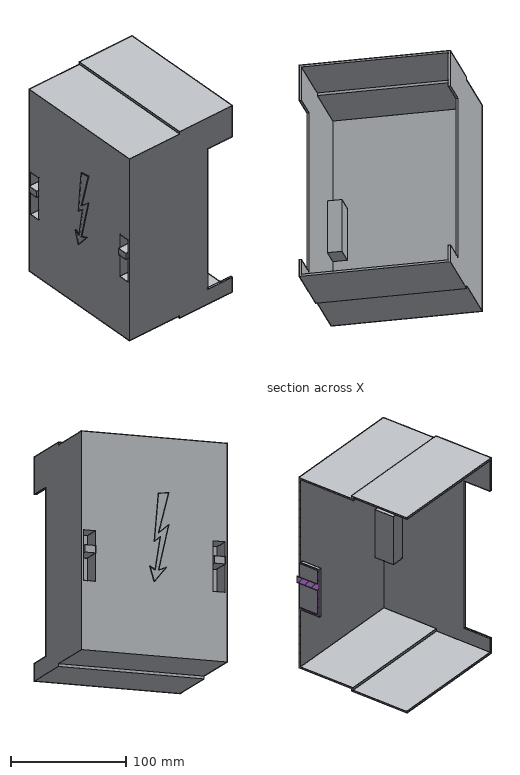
import cadquery as cq

width = 135.0
height = 200.0
body_depth = 117.0
wall = 2.0

rear_depth = 60.0
step_height = 2.5
step_y = body_depth - rear_depth

recess_depth = 28.0
recess_bottom = 16.0
recess_top = 166.5

slot_width = 11.0
latch_offset = width / 2 - wall - slot_width / 2
slot_height = 45.0
slot_bottom = 64.5
pocket_depth = 20.0
tongue_width = 10.0
tongue_height = 6.6
tongue_bottom = 89.2
tongue_projection = 2.0

arrow_thickness = 1.0
arrow_points = [
    (3.5, 147.5),
    (13.1, 148.9),
    (3.7, 112.3),
    (13.1, 120.3),
    (3.7, 79.1),
    (10.9, 82.1),
    (-0.3, 68.5),
    (-4.5, 82.1),
    (0.5, 79.1),
    (5.3, 109.0),
    (-0.3, 104.4),
]


def block(x_center, x_size, y_start, y_end, z_start, z_size):
    """Box centred on x_center, between two Y planes and standing on z_start."""
    return (
        cq.Workplane("XY", origin=(x_center, y_start, z_start))
        .box(x_size, y_end - y_start, z_size, centered=(True, False, False))
    )


def stepped_block(inset, y_front):
    """Two-section body reduced by inset at the sides, top and bottom."""
    front_bottom = step_height + inset
    front = block(0, width - 2 * inset, y_front, body_depth, front_bottom, height - 2 * front_bottom)
    rear = block(0, width - 2 * inset, step_y + inset, body_depth, inset, height - 2 * inset)
    return front.union(rear)


def make_shell():
    """Thin-walled cover, open at the back and recessed across its back edge."""
    shell = stepped_block(0, 0).cut(stepped_block(wall, wall))
    recess = block(0, width, body_depth - recess_depth, body_depth, recess_bottom, recess_top - recess_bottom)
    return shell.cut(recess)


def add_latch(body, x_center):
    """Add a closed pocket behind the front face and a tongue standing on its floor."""
    lining_width = slot_width + 2 * wall
    lining_height = slot_height + 2 * wall
    lining = block(x_center, lining_width, 0, pocket_depth + wall, slot_bottom - wall, lining_height)
    pocket = block(x_center, slot_width, 0, pocket_depth, slot_bottom, slot_height)
    tongue = block(x_center, tongue_width, -tongue_projection, pocket_depth, tongue_bottom, tongue_height)
    return body.union(lining).cut(pocket).union(tongue)


def make_arrow():
    """Lightning arrow standing proud of the front face and rooted in the front wall."""
    return (
        cq.Workplane("XZ", origin=(0, wall, 0))
        .polyline(arrow_points)
        .close()
        .extrude(wall + arrow_thickness)
    )


housing = make_shell()
for side in (-1, 1):
    housing = add_latch(housing, side * latch_offset)

result = housing.union(make_arrow())